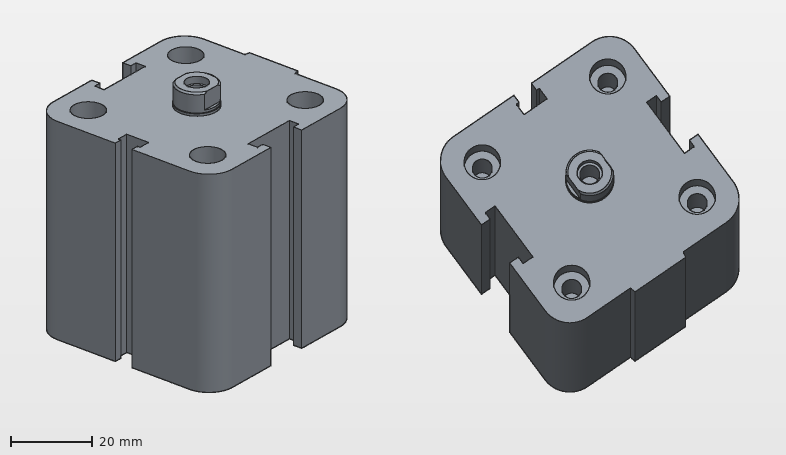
import cadquery as cq


total_height = 67.0
overall_depth = 58.5
body_side = 57.0
corner_radius = 7.5

rod_diameter = 12.0
rod_end_diameter = 11.7
rod_projection = 6.35
rod_step_height = 0.8
rod_step_chamfer = (rod_diameter - rod_end_diameter) / 2
rod_end_chamfer = 0.5
flat_base_height = 1.5
flats_width = 10.0
rod_hole_diameter = 4.9
rod_hole_depth = 12.05
rod_relief_diameter = 6.2
rod_relief_depth = 2.0

body_height = total_height - rod_projection
rod_bore_depth = 14.75

rail_height = overall_depth - body_side
rail_base_width = 16.0
rail_top_width = 15.35

side_slot_opening = 12.0
side_slot_width = 16.1
side_slot_lip = 2.6
side_slot_depth = 5.55
front_slot_opening = 5.3
front_slot_width = 7.0
front_slot_lip = 2.2
front_slot_depth = 5.5

mount_spacing = 38.0
mount_hole_diameter = 4.9
mount_hole_depth = 17.4
mount_counterbore_diameter = 9.0
mount_counterbore_depth = 5.5


def t_slot(opening, width, lip, depth, angle):
    """Full-height T-slot in the front face, turned about Z by angle degrees."""
    face_y = -body_side / 2
    neck = cq.Workplane("XY").box(opening, lip, body_height, centered=(True, False, False))
    head = cq.Workplane("XY").box(width, depth - lip, body_height, centered=(True, False, False))
    slot = neck.union(head.translate((0, lip, 0)))
    return slot.translate((0, face_y, 0)).rotate((0, 0, 0), (0, 0, 1), angle)


def back_rail():
    """Full-height rail on the back face, with slightly tapered flanks."""
    base_y = body_side / 2
    top_y = base_y + rail_height
    outline = [
        (-rail_base_width / 2, base_y),
        (rail_base_width / 2, base_y),
        (rail_top_width / 2, top_y),
        (-rail_top_width / 2, top_y),
    ]
    return cq.Workplane("XY").polyline(outline).close().extrude(body_height)


def make_housing():
    block = (
        cq.Workplane("XY")
        .box(body_side, body_side, body_height, centered=(True, True, False))
        .edges("|Z")
        .fillet(corner_radius)
    )
    housing = block.union(back_rail())

    housing = housing.cut(
        t_slot(front_slot_opening, front_slot_width, front_slot_lip, front_slot_depth, 0)
    )
    for angle in (90, -90):
        housing = housing.cut(
            t_slot(side_slot_opening, side_slot_width, side_slot_lip, side_slot_depth, angle)
        )

    top = cq.Workplane("XY").workplane(offset=body_height)
    corners = top.rect(mount_spacing, mount_spacing, forConstruction=True).vertices()
    counterbores = corners.circle(mount_counterbore_diameter / 2).extrude(-mount_counterbore_depth)
    holes = corners.circle(mount_hole_diameter / 2).extrude(-mount_hole_depth)
    rod_bore = top.circle(rod_diameter / 2).extrude(-rod_bore_depth)
    return housing.cut(counterbores).cut(holes).cut(rod_bore)


def make_rod():
    shank = (
        cq.Workplane("XY")
        .workplane(offset=body_height - rod_bore_depth)
        .circle(rod_diameter / 2)
        .extrude(rod_bore_depth + rod_step_height)
        .faces(">Z")
        .chamfer(rod_step_chamfer)
    )
    rod_end = (
        cq.Workplane("XY")
        .workplane(offset=body_height)
        .circle(rod_end_diameter / 2)
        .extrude(rod_projection)
        .faces(">Z")
        .chamfer(rod_end_chamfer)
    )
    rod = shank.union(rod_end)

    flat_height = rod_projection - flat_base_height
    for side in (-1, 1):
        flat_cutter = cq.Workplane("XY").box(
            rod_diameter, rod_diameter, flat_height, centered=(True, True, False)
        )
        offset_x = side * (flats_width + rod_diameter) / 2
        rod = rod.cut(flat_cutter.translate((offset_x, 0, body_height + flat_base_height)))

    top = cq.Workplane("XY").workplane(offset=total_height)
    hole = top.circle(rod_hole_diameter / 2).extrude(-rod_hole_depth)
    relief = top.circle(rod_relief_diameter / 2).extrude(-rod_relief_depth)
    return rod.cut(hole).cut(relief)


housing = make_housing()
rod = make_rod()

result = cq.Compound.makeCompound([housing.val(), rod.val()])